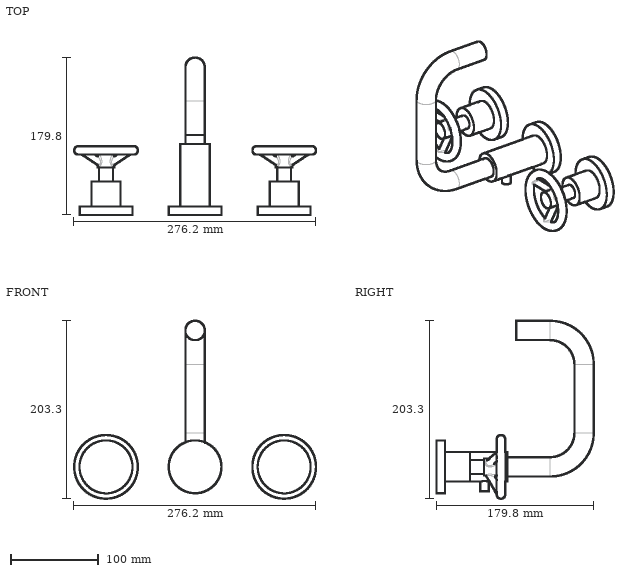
import cadquery as cq
import math

overall_width = 276.2
wheel_diameter = 73.0
handle_offset = (overall_width - wheel_diameter) / 2

flange_diameter = 60.5
flange_thickness = 10.0

sleeve_diameter = 34.0
sleeve_end = 81.2
tube_diameter = 22.5
bend_radius = 38.7
spout_reach = 179.8
spout_height = 166.8
spout_tip = 91.2
stub_diameter = 10.2
stub_position = 55.0
stub_length = 28.0

base_diameter = 33.5
base_end = 38.5
stem_diameter = 16.0
hub_diameter = 19.3
hub_start = 54.5
hub_end = 74.0
rim_diameter = 10.0
rim_position = 73.8
rim_radius = (wheel_diameter - rim_diameter) / 2
spoke_diameter = 8.3
spoke_slope = 30.0
spoke_angles = (30, 150, 270)
spoke_root_radius = 5.5
spoke_fillet = 1.7


def rod(diameter, start, end):
    """Cylinder on the Y axis between two distances from the wall."""
    return cq.Workplane("XZ", origin=(0, start, 0)).circle(diameter / 2).extrude(start - end)


def make_tube():
    """Tube that leaves the sleeve, turns up and turns back over itself."""
    back = spout_reach - tube_diameter / 2
    straight_end = back - bend_radius
    top = spout_height - tube_diameter / 2
    corner_inset = bend_radius * (1 - math.sqrt(0.5))
    path = (
        cq.Workplane("YZ")
        .moveTo(flange_thickness, 0)
        .lineTo(straight_end, 0)
        .threePointArc((back - corner_inset, corner_inset), (back, bend_radius))
        .lineTo(back, top - bend_radius)
        .threePointArc((back - corner_inset, top - corner_inset), (straight_end, top))
        .lineTo(spout_tip, top)
    )
    section = cq.Workplane("XZ", origin=(0, flange_thickness, 0)).circle(tube_diameter / 2)
    return section.sweep(path)


def make_spout():
    flange = rod(flange_diameter, 0, flange_thickness)
    sleeve = rod(sleeve_diameter, 0, sleeve_end)
    stub = (
        cq.Workplane("XY", origin=(0, stub_position, 0))
        .circle(stub_diameter / 2)
        .extrude(-stub_length)
    )
    return flange.union(sleeve).union(stub).union(make_tube())


def make_spoke(angle):
    """Round spoke rising at the spoke slope from inside the hub to the rim centre line."""
    slope = math.radians(spoke_slope)
    turn = math.radians(angle)
    root_height = rim_position - (rim_radius - spoke_root_radius) * math.tan(slope)
    root = cq.Vector(
        spoke_root_radius * math.cos(turn), root_height, spoke_root_radius * math.sin(turn)
    )
    direction = cq.Vector(
        math.cos(slope) * math.cos(turn), math.sin(slope), math.cos(slope) * math.sin(turn)
    )
    length = (rim_radius - spoke_root_radius) / math.cos(slope)
    return cq.Solid.makeCylinder(spoke_diameter / 2, length, root, direction)


def make_wheel():
    """Rim, spokes and hub, with both ends of every spoke filleted."""
    wheel = (
        cq.Workplane("XY", origin=(rim_radius, rim_position, 0))
        .circle(rim_diameter / 2)
        .revolve(360, (-rim_radius, 0, 0), (-rim_radius, 1, 0))
    )
    for angle in spoke_angles:
        wheel = wheel.union(cq.Workplane(make_spoke(angle)), clean=False)
    wheel = wheel.union(rod(hub_diameter, hub_start, hub_end), clean=False)
    return wheel.edges("not(%LINE or %CIRCLE)").fillet(spoke_fillet)


def make_handle():
    flange = rod(flange_diameter, 0, flange_thickness)
    base = rod(base_diameter, 0, base_end)
    stem = rod(stem_diameter, 0, hub_start)
    return flange.union(base).union(stem).union(make_wheel(), clean=False)


spout = make_spout()
handle = make_handle()
handles = [handle.translate((side * handle_offset, 0, 0)) for side in (-1, 1)]

result = cq.Compound.makeCompound([spout.val(), *[h.val() for h in handles]])